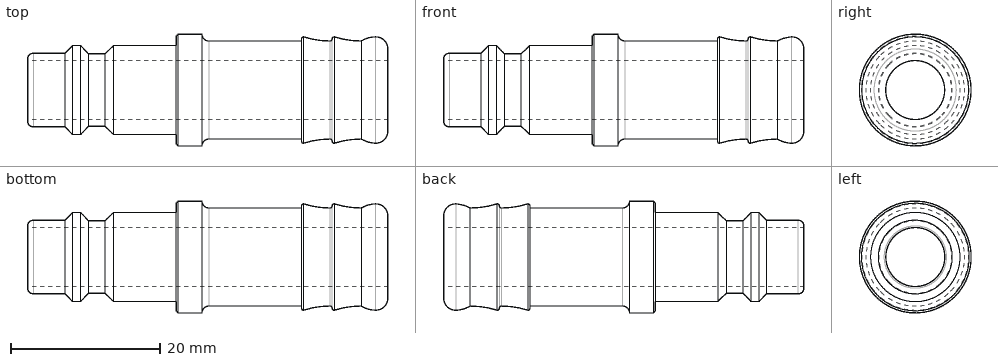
import cadquery as cq

length = 48.3
bore_radius = 7.85 / 2

nose_radius = 9.9 / 2
nose_rounding = 0.75
nose_rim_radius = nose_radius - nose_rounding
nose_end = 5.0
ridge_start = 6.05
ridge_end = 7.1
groove_radius = 9.75 / 2
groove_start = 8.15
groove_end = 10.4

body_radius = 12.0 / 2
body_start = 11.55
collar_radius = 15.0 / 2
collar_start = 19.9
collar_end = 23.4
collar_chamfer = 0.3

shank_radius = 13.2 / 2
shank_fillet = collar_radius - shank_radius

first_barb_start = 36.7
barb_pitch = 4.1
second_barb_start = first_barb_start + barb_pitch
barb_radius = 7.15
barb_rounding = 0.3
barb_shoulder_radius = barb_radius - barb_rounding
barb_flank_sag = 0.15
barb_root_fillet = barb_shoulder_radius - shank_radius
barb_root_start = second_barb_start - barb_root_fillet

bulb_start = 44.73
bulb_radius = 7.15
bulb_rim_radius = 11.0 / 2
bulb_rounding = bulb_radius - bulb_rim_radius
bulb_crest_x = length - bulb_rounding
bulb_rise = bulb_radius - shank_radius
bulb_front_arc = ((bulb_crest_x - bulb_start) ** 2 + bulb_rise ** 2) / (2 * bulb_rise)


def add_barb(outline, start, flank_end):
    """Continue the outline from a barb's shoulder over its crest and down to the shank."""
    crest_end = start + barb_rounding
    flank_middle = (
        (crest_end + flank_end) / 2,
        (barb_radius + shank_radius) / 2 - barb_flank_sag,
    )
    return (
        outline.radiusArc((crest_end, barb_radius), barb_rounding)
        .threePointArc(flank_middle, (flank_end, shank_radius))
    )


outline = (
    cq.Workplane("XY")
    .moveTo(0, bore_radius)
    .lineTo(0, nose_rim_radius)
    .radiusArc((nose_rounding, nose_radius), nose_rounding)
    .lineTo(nose_end, nose_radius)
    .lineTo(ridge_start, body_radius)
    .lineTo(ridge_end, body_radius)
    .lineTo(groove_start, groove_radius)
    .lineTo(groove_end, groove_radius)
    .lineTo(body_start, body_radius)
    .lineTo(collar_start, body_radius)
    .lineTo(collar_start, collar_radius - collar_chamfer)
    .lineTo(collar_start + collar_chamfer, collar_radius)
    .lineTo(collar_end, collar_radius)
    .radiusArc((collar_end + shank_fillet, shank_radius), -shank_fillet)
)
outline = outline.lineTo(first_barb_start, shank_radius).lineTo(first_barb_start, barb_shoulder_radius)
outline = add_barb(outline, first_barb_start, barb_root_start)
outline = outline.radiusArc((second_barb_start, barb_shoulder_radius), -barb_root_fillet)
outline = add_barb(outline, second_barb_start, bulb_start)

half_section = (
    outline.radiusArc((bulb_crest_x, bulb_radius), bulb_front_arc)
    .radiusArc((length, bulb_rim_radius), bulb_rounding)
    .lineTo(length, bore_radius)
    .close()
)

result = half_section.revolve(360, (0, 0, 0), (1, 0, 0))